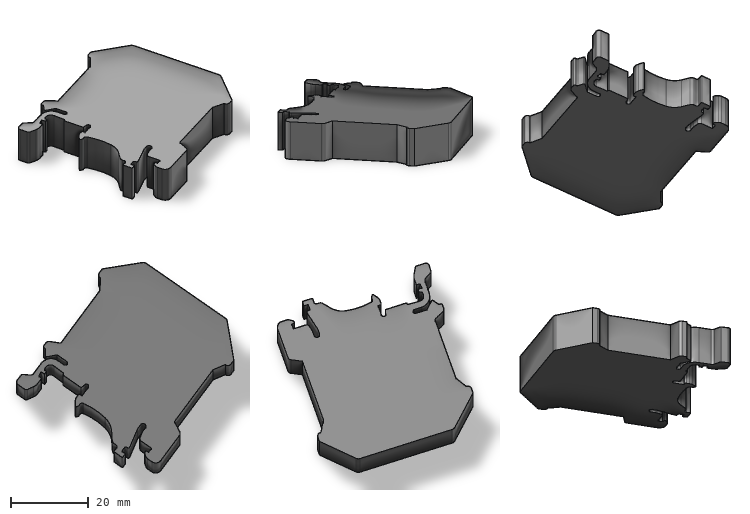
import cadquery as cq
import math

height = 45.65
thickness = 10.0

trunk_half_width = 18.0
trunk_bottom_y = 15.55
trunk_top_y = 32.65
head_half_width = 20.85
head_bevel = 7.8
head_bevel_radius = 1.4
head_lug_top_y = height - head_bevel
head_lug_bottom_y = 35.6
head_lug_step = 1.1
head_lug_radius = 0.95

shoulder_y = 13.95
left_shoulder_x = -21.15
right_side_x = 21.2
shoulder_radius = 0.9
small_radius = 0.25
medium_radius = 0.35
large_radius = 0.55
tip_radius = 0.27

slight_rise = 0.1

lug_bottom_y = 12.0
lug_root_x = -20.25
lug_tip = (-19.05, 10.23)
slot_left_x = -16.9
slot_right_x = -13.38
slot_top_y = 12.45
slot_width = 1.15
slot_end_radius = 0.55

arm_bend_radius = 3.2
arm_width = 1.6
arm_outer_x = -18.95
arm_inner_x = arm_outer_x + arm_width
arm_top_y = slot_top_y - slot_width
arm_under_y = 9.65
arm_inner_radius = 1.45
arm_step_x = -12.7
arm_step_taper = 0.15
arm_foot_y = 4.35
arm_foot_radius = 0.9
foot_left_x = -21.4
foot_top = (-21.27, 2.95)
foot_heel_radius = 0.9
foot_toe_x = -17.95
foot_toe_radius = 0.75
foot_belly_y = 2.7
foot_right_x = -16.53
foot_bottom_y = 0.15
foot_belly_radius = 5.6 / 2
catch_top_y = 7.2
catch_bottom_y = 6.4
catch_notch_bottom_y = 5.0
catch_notch_depth = 1.1
catch_notch_taper = 0.2

seat_y = 8.95
seat_end_x = -6.75
relief_top_y = 10.6
relief_left_x = -6.4
relief_right_x = -5.35
relief_radius = 0.5
claw_top_y = 7.35
claw_left_x = -6.3
claw_belly_y = 5.65
claw_belly_radius = 1.83
claw_tip = (-5.0, 3.85)
claw_back_y = 4.55

arch_left_x = -4.47
arch_left_y = 5.75
arch_left_radius = 0.7
arch_crown = (-0.4, 6.57)
arch_crown_radius = 18.25
arch_flank = (5.1, 5.6)
arch_flank_radius = 5.7
stem_shoulder_y = 1.8
arch_end = (8.25, stem_shoulder_y)
arch_end_radius = 1.15
stem_left_x = 9.95
stem_right_x = 12.75
stem_neck_x = 11.6
stem_foot_height = 1.3
stem_notch_top_y = 2.88
stem_corner_x = 12.55
stem_flank_y = 3.6

hook_slot_left_x = 11.4
hook_slot_right_x = 12.87
hook_slot_radius = 0.7
hook_slot_bend_y = 8.55
hook_throat_y = 6.4
hook_throat_start_x = 13.38
hook_throat_radius = 0.8
hook_throat_x = 17.35
hook_lip_x = 16.53
hook_lip_y = 5.0
hook_nose_y = 4.4
hook_bottom_y = 3.5
hook_bottom_start_x = 17.8
hook_bottom_radius = 1.3
hook_radius = 1.7


def head_side():
    """Right half of the head, from the trunk up to the top edge."""
    return [
        (trunk_half_width, trunk_top_y, 0),
        (head_half_width - head_lug_step, head_lug_bottom_y, 0),
        (head_half_width, head_lug_bottom_y, head_lug_radius),
        (head_half_width, head_lug_top_y, 0),
        (head_half_width - head_bevel, height, head_bevel_radius),
    ]


def mirrored(corners):
    """The same corners reflected in X = 0, kept in counterclockwise order."""
    return [(-x, y, radius) for x, y, radius in reversed(corners)]


def lug_and_slot():
    return [
        (-trunk_half_width, trunk_bottom_y, 0),
        (left_shoulder_x, shoulder_y, shoulder_radius),
        (left_shoulder_x, lug_bottom_y, medium_radius),
        (lug_root_x, lug_bottom_y, medium_radius),
        (*lug_tip, tip_radius),
        (slot_left_x, slot_top_y, 0),
        (slot_right_x, slot_top_y, slot_end_radius),
        (slot_right_x, arm_top_y, slot_end_radius),
    ]


def spring_arm():
    notch_x = foot_right_x - catch_notch_depth
    return [
        (arm_outer_x, arm_top_y, arm_bend_radius),
        (arm_outer_x, arm_foot_y, arm_foot_radius),
        (*foot_top, small_radius),
        (foot_left_x, foot_bottom_y, foot_heel_radius),
        (foot_toe_x, foot_bottom_y, foot_toe_radius),
        (foot_right_x, foot_belly_y, foot_belly_radius),
        (foot_right_x, catch_notch_bottom_y, 0),
        (notch_x + catch_notch_taper, catch_notch_bottom_y + slight_rise, 0),
        (notch_x, catch_bottom_y, 0),
        (foot_right_x, catch_bottom_y, 0),
        (foot_right_x, catch_top_y, 0),
        (arm_inner_x, catch_top_y + 2 * slight_rise, medium_radius),
        (arm_inner_x, arm_under_y, arm_inner_radius),
        (arm_step_x, arm_under_y - 2 * slight_rise, 0),
    ]


def seat_and_claw():
    return [
        (arm_step_x + arm_step_taper, seat_y, 0),
        (seat_end_x, seat_y, 0),
        (relief_left_x, relief_top_y, relief_radius),
        (relief_right_x, relief_top_y, relief_radius),
        (relief_right_x, claw_top_y, 0),
        (claw_left_x, claw_top_y, medium_radius),
        (claw_left_x, claw_belly_y, claw_belly_radius),
        (*claw_tip, tip_radius),
        (arch_left_x, claw_back_y, medium_radius),
    ]


def arch_and_stem():
    return [
        (arch_left_x, arch_left_y, arch_left_radius),
        (*arch_crown, arch_crown_radius),
        (*arch_flank, arch_flank_radius),
        (*arch_end, arch_end_radius),
        (stem_left_x, stem_shoulder_y, large_radius),
        (stem_left_x, 0, small_radius),
        (stem_right_x, 0, small_radius),
        (stem_right_x, stem_foot_height, 0),
        (stem_neck_x, stem_foot_height, small_radius),
        (stem_neck_x, stem_notch_top_y, medium_radius),
        (stem_corner_x, stem_notch_top_y, small_radius),
        (stem_corner_x, stem_flank_y, 0),
    ]


def hook():
    return [
        (hook_slot_left_x, hook_slot_bend_y, 0),
        (hook_slot_left_x, relief_top_y, hook_slot_radius),
        (hook_slot_right_x, relief_top_y, hook_slot_radius),
        (hook_slot_right_x, hook_slot_bend_y, 0),
        (hook_throat_start_x, hook_throat_y, hook_throat_radius),
        (hook_throat_x, hook_throat_y, 0),
        (hook_throat_x, hook_lip_y + slight_rise, 0),
        (hook_lip_x, hook_lip_y - slight_rise, 0),
        (hook_lip_x, hook_nose_y, large_radius),
        (hook_bottom_start_x, hook_bottom_y, hook_bottom_radius),
        (right_side_x, hook_bottom_y, hook_radius),
        (right_side_x, shoulder_y, shoulder_radius),
        (trunk_half_width, trunk_bottom_y, 0),
    ]


def corner_arc(before, corner, after):
    """Start, middle and end of the arc that rounds a corner between two straight edges."""
    point = cq.Vector(corner[0], corner[1])
    to_before = (cq.Vector(before[0], before[1]) - point).normalized()
    to_after = (cq.Vector(after[0], after[1]) - point).normalized()
    half_angle = to_before.getAngle(to_after) / 2
    radius = corner[2]
    setback = radius / math.tan(half_angle)
    apex_distance = radius / math.sin(half_angle) - radius
    bisector = (to_before + to_after).normalized()
    return point + to_before * setback, point + bisector * apex_distance, point + to_after * setback


def rounded_outline(corners):
    """Closed outline through the corners; the first corner must be sharp."""
    outline = cq.Workplane("XY").workplane(offset=-thickness / 2).moveTo(*corners[0][:2])
    for index in range(1, len(corners)):
        corner = corners[index]
        if corner[2] == 0:
            outline = outline.lineTo(*corner[:2])
            continue
        following = corners[(index + 1) % len(corners)]
        start, middle, end = corner_arc(corners[index - 1], corner, following)
        outline = outline.lineTo(start.x, start.y)
        outline = outline.threePointArc((middle.x, middle.y), (end.x, end.y))
    return outline.close()


corners = (
    lug_and_slot()
    + spring_arm()
    + seat_and_claw()
    + arch_and_stem()
    + hook()
    + head_side()
    + mirrored(head_side())
)
result = rounded_outline(corners).extrude(thickness)